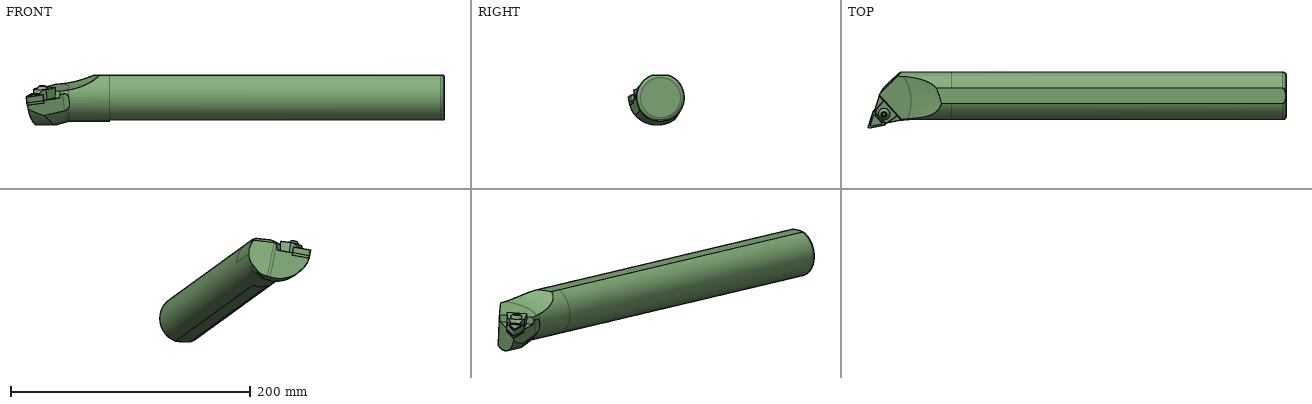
import cadquery as cq
import math

length = 350.0
bar_radius = 20.0
flat_height = 19.0
neck_length = 70.0
end_round = 3.0

barrel_radius = 24.5
barrel_y = -2.8
barrel_z = 1.5
lean_start = 35.7
lean_down = 0.28
lean_sideways = 0.16

tip_y = -26.5
axial_rake = 6.1
radial_rake = 9.8
bisector_angle = 41.6

insert_side = 16.5
insert_height = 5.0
insert_corner = 1.0
shim_height = 2.0
breaker_land = 1.5
breaker_depth = 0.5
half_tip_angle = 30.0

flank_setback = 0.7
flank_width = 15.5
side_width = 15.0
side_angle = 3.0
side_round = 5.2

scoop_height = 5.5
scoop_u = 16.8
scoop_v = 17.0
scoop_floor_radius = 36.0
scoop_wall_radius = 49.0
scoop_wall_angle = 50.0

wall_distance = 27.0
wall_lean = 18.0

clamp_height = 8.5
clamp_nose_u = 12.5
clamp_nose_bevel = 2.5
clamp_nose_half_width = 4.0
clamp_shoulder_u = 17.0
clamp_shoulder_half_width = 7.5
clamp_back_half_width = 8.5
screw_u = 19.5
screw_radius = 5.0
screw_top_radius = 2.5
screw_height = 2.5
socket_radius = 1.5
socket_depth = 1.8

reach = 105.0

tan_axial = math.tan(math.radians(axial_rake))
tan_radial = math.tan(math.radians(radial_rake))
tan_tip = math.tan(math.radians(half_tip_angle))
bisector_x = math.cos(math.radians(bisector_angle))
bisector_y = math.sin(math.radians(bisector_angle))

seat_plane = cq.Plane(
    origin=(0, tip_y, tan_radial * tip_y),
    xDir=(bisector_x, bisector_y, tan_axial * bisector_x + tan_radial * bisector_y),
    normal=(-tan_axial, -tan_radial, 1),
)


def at_height(height):
    """Workplane parallel to the seat, at a height above it."""
    return cq.Workplane(seat_plane).workplane(offset=height)


def upright_section(u, v):
    """Workplane standing on the seat at (u, v); its local axes are u and w."""
    origin = seat_plane.toWorldCoords((u, v, 0)).toTuple()
    return cq.Workplane(cq.Plane(origin=origin, xDir=seat_plane.xDir, normal=-seat_plane.yDir))


def across_bar(x, y=0.0, z=0.0):
    """Workplane square to the bar at a given X; its local axes are Y and Z."""
    return cq.Workplane("YZ", origin=(x, y, z))


def triangle(base, height, inset=0.0):
    """Rounded triangular plate in the insert's outline, which has one corner at the seat origin."""
    depth = insert_side / (2 * tan_tip)
    return (
        at_height(base)
        .polyline([(0, 0), (depth, -insert_side / 2), (depth, insert_side / 2)])
        .close()
        .offset2D(-insert_corner - inset)
        .offset2D(insert_corner)
        .extrude(height)
    )


def make_insert():
    plate = triangle(0, insert_height)
    return plate.cut(triangle(insert_height - breaker_depth, insert_height, breaker_land))


def flat_cutter(x_start, side):
    """Block that planes a flat along the bar's top (side = 1) or bottom (side = -1)."""
    size = 4 * bar_radius
    block = cq.Workplane("XY").box(length, size, size, centered=(False, True, True))
    return block.translate((x_start, 0, side * (flat_height + size / 2)))


def make_shank():
    shank = across_bar(neck_length).circle(bar_radius).extrude(length - neck_length)
    shank = shank.faces(">X").edges().fillet(end_round)
    return shank.cut(flat_cutter(neck_length, -1))


def make_head_blank():
    leaning_head = (
        across_bar(lean_start)
        .circle(bar_radius)
        .workplane(offset=-lean_start)
        .center(-lean_sideways * lean_start, -lean_down * lean_start)
        .circle(bar_radius)
        .loft(ruled=True)
    )
    barrel = across_bar(0, barrel_y, barrel_z).circle(barrel_radius).extrude(lean_start)
    neck = across_bar(0).circle(bar_radius).extrude(neck_length)
    return leaning_head.intersect(barrel).union(neck)


def to_seat(x, y):
    """(u, v) of the point of the seat plane that lies above or below (x, y)."""
    point = seat_plane.toLocalCoords(cq.Vector(x, y, tan_axial * x + tan_radial * y))
    return (point.x, point.y)


def make_head_envelope():
    """Prism through the head: two flanks at the tip and the slanted side face."""
    tip = (flank_setback / math.sin(math.radians(half_tip_angle)), 0)
    flank_end = (tip[0] + flank_width / tan_tip, -flank_width)
    side_start = (tip[0] + side_width / tan_tip, side_width)
    side_end = (side_start[0] + reach, side_width + reach * math.tan(math.radians(side_angle)))
    relief_end = to_seat(lean_start, -bar_radius)
    outline = (
        at_height(-reach)
        .moveTo(*tip)
        .lineTo(*flank_end)
        .tangentArcPoint(relief_end, relative=False)
        .lineTo(*to_seat(lean_start, -reach))
        .lineTo(*to_seat(reach, -reach))
        .lineTo(*side_end)
        .lineTo(*side_start)
        .close()
    )
    corner = seat_plane.toWorldCoords((*side_start, 0)).toTuple()
    corner_edge = cq.selectors.NearestToPointSelector(corner)
    return outline.extrude(2 * reach).edges(corner_edge).fillet(side_round)


def make_scoop():
    """Flat-bottomed bowl that leaves the chip face and runs out through the top of the neck."""
    angle = math.radians(scoop_wall_angle)

    def wall_point(turn):
        return (
            scoop_floor_radius + scoop_wall_radius * math.sin(turn),
            scoop_height + scoop_wall_radius * (1 - math.cos(turn)),
        )

    rim = wall_point(angle)
    return (
        upright_section(scoop_u, scoop_v)
        .moveTo(0, scoop_height)
        .lineTo(scoop_floor_radius, scoop_height)
        .threePointArc(wall_point(angle / 2), rim)
        .lineTo(0, rim[1])
        .close()
        .revolve(360, (0, 0), (0, 1))
    )


def make_seat_pocket():
    """Open step in front of a leaning back wall."""
    top = 2 * insert_height
    slope = math.tan(math.radians(wall_lean))
    wall_foot = wall_distance - scoop_height * slope
    wall_top = wall_foot + top * slope
    return (
        upright_section(0, -reach)
        .polyline([(-reach, 0), (wall_foot, 0), (wall_top, top), (-reach, top)])
        .close()
        .extrude(-2 * reach)
    )


def make_clamp():
    """Clamp block behind the insert, with a nose over the insert's top."""
    outline = [
        (clamp_nose_u, clamp_nose_half_width),
        (clamp_shoulder_u, clamp_shoulder_half_width),
        (wall_distance, clamp_back_half_width),
    ]
    mirrored = [(u, -v) for u, v in reversed(outline)]
    block = at_height(0).polyline(outline + mirrored).close().extrude(clamp_height)
    nose_edge = seat_plane.toWorldCoords((clamp_nose_u, 0, clamp_height)).toTuple()
    block = block.edges(cq.selectors.NearestToPointSelector(nose_edge)).chamfer(clamp_nose_bevel)
    screw = (
        at_height(clamp_height)
        .center(screw_u, 0)
        .circle(screw_radius)
        .workplane(offset=screw_height)
        .circle(screw_top_radius)
        .loft()
    )
    socket = (
        at_height(clamp_height + screw_height)
        .center(screw_u, 0)
        .circle(socket_radius)
        .extrude(-socket_depth)
    )
    return block.union(screw).cut(socket)


def make_holder(insert):
    head = make_head_blank().intersect(make_head_envelope())
    head = head.cut(make_scoop()).cut(make_seat_pocket())
    holder = head.union(make_shank()).cut(flat_cutter(0, 1))
    shim = triangle(-shim_height, shim_height)
    return holder.union(shim).union(make_clamp()).cut(insert)


insert = make_insert()
holder = make_holder(insert)

result = cq.Compound.makeCompound([holder.val(), insert.val()])